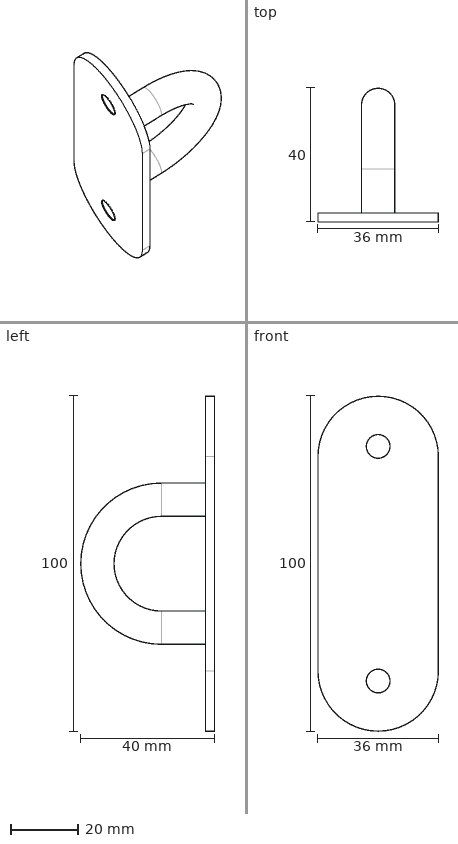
import cadquery as cq

plate_width = 36.0
plate_height = 100.0
plate_thickness = 2.8
hole_diameter = 7.0
countersink_diameter = 12.0
countersink_angle = 90.0
hole_spacing = 70.0

overall_depth = 40.0
bar_diameter = 10.0
leg_spacing = 38.2

bend_radius = leg_spacing / 2
bend_start_y = overall_depth - bend_radius - bar_diameter / 2


def make_plate():
    """Plate with full-round ends and two holes countersunk from the eye side."""
    outline = cq.Workplane("XZ").slot2D(plate_height, plate_width, 90)
    plate = outline.extrude(-plate_thickness)
    return (
        plate.faces(">Y")
        .workplane(origin=(0, plate_thickness, 0))
        .pushPoints([(0, -hole_spacing / 2), (0, hole_spacing / 2)])
        .cskHole(hole_diameter, countersink_diameter, countersink_angle)
    )


def make_eye():
    """U-shaped bar: two straight legs joined by a half-circle bend."""
    path = (
        cq.Workplane("YZ")
        .moveTo(plate_thickness, -bend_radius)
        .lineTo(bend_start_y, -bend_radius)
        .threePointArc((bend_start_y + bend_radius, 0), (bend_start_y, bend_radius))
        .lineTo(plate_thickness, bend_radius)
    )
    section = cq.Workplane("XZ", origin=(0, plate_thickness, -bend_radius)).circle(bar_diameter / 2)
    return section.sweep(path)


result = make_plate().union(make_eye())